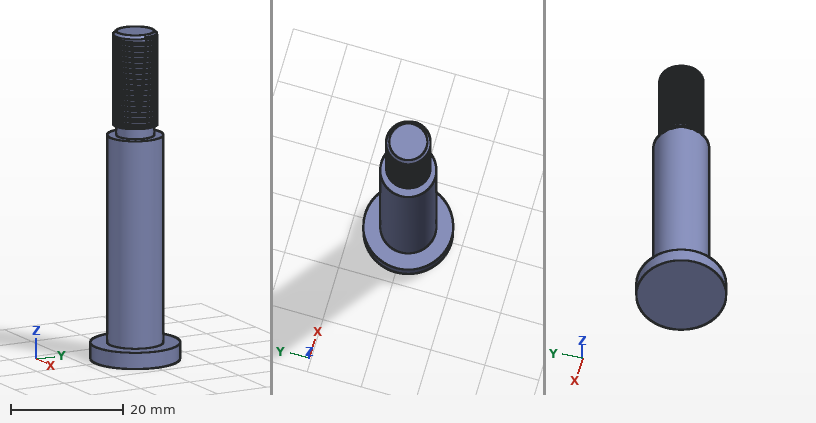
import cadquery as cq
import math

total_length = 60.0
head_height = 3.0
shank_length = 38.0
neck_length = 2.0

head_diameter = 16.0
shank_diameter = 10.0
thread_diameter = 8.0
neck_diameter = 6.8
chamfer = 0.6

pitches = 17
thread_depth = 0.35
root_flat = 0.15
flank_angle = math.radians(30)
outer_clearance = 0.1

shoulder_z = head_height + shank_length
thread_start_z = shoulder_z + neck_length
thread_length = total_length - thread_start_z
pitch = thread_length / pitches


def cylinder(diameter, bottom_z, height):
    return cq.Workplane("XY", origin=(0, 0, bottom_z)).circle(diameter / 2).extrude(height)


def groove_turn():
    """One turn of the helical V groove, starting half a pitch below the thread."""
    root_radius = thread_diameter / 2 - thread_depth
    outer_radius = thread_diameter / 2 + outer_clearance
    root_half = root_flat / 2
    outer_half = root_half + (outer_radius - root_radius) * math.tan(flank_angle)
    start_z = thread_start_z - pitch / 2
    bottom = cq.Vector(0, 0, start_z)
    helix = cq.Wire.makeHelix(pitch, pitch, root_radius, center=bottom, lefthand=True)
    profile = cq.Workplane("XZ", origin=(0, 0, start_z)).polyline([
        (root_radius, -root_half),
        (outer_radius, -outer_half),
        (outer_radius, outer_half),
        (root_radius, root_half),
    ]).close()
    return profile.sweep(cq.Workplane(obj=helix), isFrenet=True)


def cut_thread(rod):
    """Cut the groove turn by turn, running out into the neck and ending at the end chamfer."""
    turn = groove_turn()
    for index in range(pitches):
        rod = rod.cut(turn.translate((0, 0, index * pitch)))
    return rod


head = cylinder(head_diameter, 0, head_height)
shank = cylinder(shank_diameter, head_height, shank_length)
neck = cylinder(neck_diameter, shoulder_z, neck_length)
threaded_end = cylinder(thread_diameter, thread_start_z, thread_length)
threaded_end = cut_thread(threaded_end.faces(">Z").chamfer(chamfer))

result = head.union(shank).union(neck).union(threaded_end)